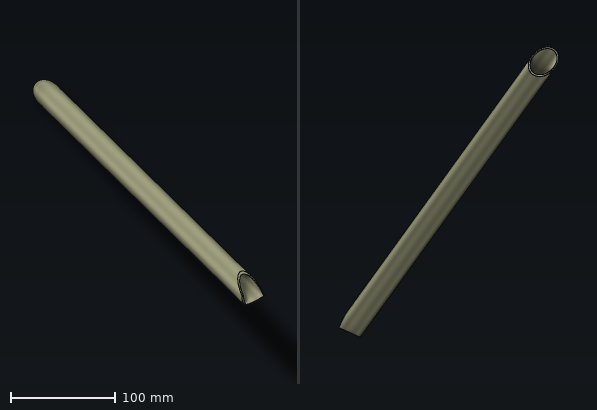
import cadquery as cq

OUTER_DIAMETER = 25.0
WALL = 1.5
AXIS = cq.Vector(1, 0.1951, 0.3912).normalized()

SIDE = cq.Vector(0, 0, 1).cross(AXIS).normalized()
UPPER = AXIS.cross(SIDE)

LOWER_MITRE = (-226.85, -0.452, 0.70)
WEDGE_TOP = (235.4, 0.94, 2.27)
WEDGE_BOTTOM = (240.0, 0.06, -1.12)
TIP_BEVEL = (242.6, -0.50, 0.45)

BLANK_HALF_LENGTH = 320
CUTTER_SIZE = 400


def tube_blank():
    """Straight tube longer than the part, centred on the origin."""
    start = AXIS * -BLANK_HALF_LENGTH
    outer_radius = OUTER_DIAMETER / 2
    return (
        cq.Workplane(cq.Plane(start, normal=AXIS))
        .circle(outer_radius)
        .circle(outer_radius - WALL)
        .extrude(2 * BLANK_HALF_LENGTH)
    )


def beyond_cut(axis_distance, side_lean, upper_lean):
    """Block that fills the space past a flat cut, on the side away from the origin."""
    normal = AXIS + SIDE * side_lean + UPPER * upper_lean
    outward = normal if axis_distance > 0 else -normal
    return (
        cq.Workplane(cq.Plane(AXIS * axis_distance, normal=outward))
        .rect(CUTTER_SIZE, CUTTER_SIZE)
        .extrude(CUTTER_SIZE)
    )


result = tube_blank()
for end_cut in (LOWER_MITRE, WEDGE_TOP, WEDGE_BOTTOM, TIP_BEVEL):
    result = result.cut(beyond_cut(*end_cut))